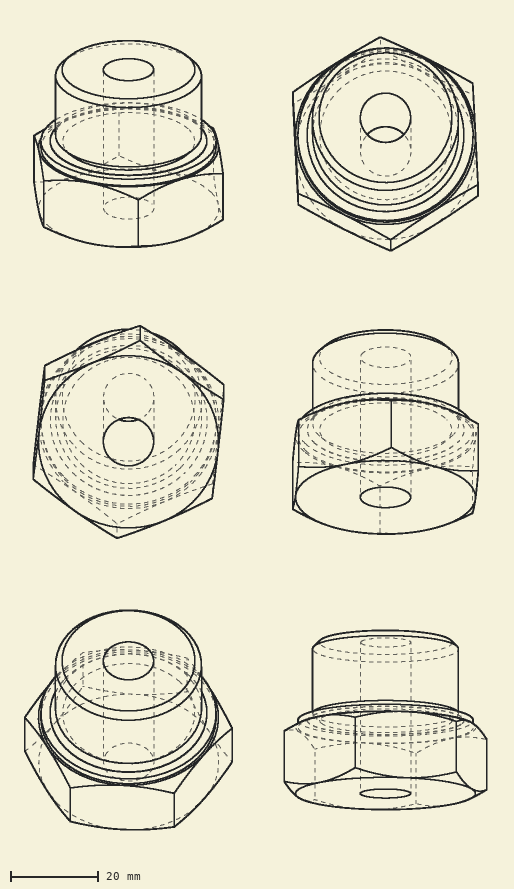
import cadquery as cq
import math

across_flats = 41.0
side_count = 6
half_side_angle = 180.0 / side_count
across_corners = across_flats / math.cos(math.radians(half_side_angle))
head_height = 15.35
head_face_diameter = 40.98
corner_bevel_angle = 30.0

collar_diameter = 39.9
collar_height = 1.65
recess_diameter = 35.7
recess_depth = 0.1

total_height = 35.0
spigot_diameter = 33.25
spigot_bevel = 1.5
undercut_height = 1.5
bore_diameter = 11.45

collar_top = head_height + collar_height


def make_head():
    """Hexagon with flats facing +X and -X, its corners cut conically at both ends."""
    hexagon = cq.Workplane("XY").polygon(side_count, across_corners).extrude(head_height)
    hexagon = hexagon.rotate((0, 0, 0), (0, 0, 1), half_side_angle)

    face_radius = head_face_diameter / 2
    corner_radius = across_corners / 2
    bevel_drop = (corner_radius - face_radius) * math.tan(math.radians(corner_bevel_angle))
    envelope = (
        cq.Workplane("XZ")
        .moveTo(0, 0)
        .lineTo(face_radius, 0)
        .lineTo(corner_radius, bevel_drop)
        .lineTo(corner_radius, head_height - bevel_drop)
        .lineTo(face_radius, head_height)
        .lineTo(0, head_height)
        .close()
        .revolve(360, (0, 0, 0), (0, 1, 0))
    )
    return hexagon.intersect(envelope)


def make_collar_and_spigot():
    """Turned profile: recessed collar, 45 degree undercut, and spigot with a bevelled end."""
    collar_radius = collar_diameter / 2
    recess_radius = recess_diameter / 2
    undercut_top = collar_top + undercut_height
    spigot_radius = spigot_diameter / 2
    recess_floor = collar_top - recess_depth
    undercut_radius = spigot_radius - (undercut_top - recess_floor)
    return (
        cq.Workplane("XZ")
        .moveTo(0, head_height)
        .lineTo(collar_radius, head_height)
        .lineTo(collar_radius, collar_top)
        .lineTo(recess_radius, collar_top)
        .lineTo(recess_radius, recess_floor)
        .lineTo(undercut_radius, recess_floor)
        .lineTo(spigot_radius, undercut_top)
        .lineTo(spigot_radius, total_height - spigot_bevel)
        .lineTo(spigot_radius - spigot_bevel, total_height)
        .lineTo(0, total_height)
        .close()
        .revolve(360, (0, 0, 0), (0, 1, 0))
    )


def make_bore():
    """Plain hole through the full height."""
    return cq.Workplane("XY").circle(bore_diameter / 2).extrude(total_height)


result = make_head().union(make_collar_and_spigot()).cut(make_bore())